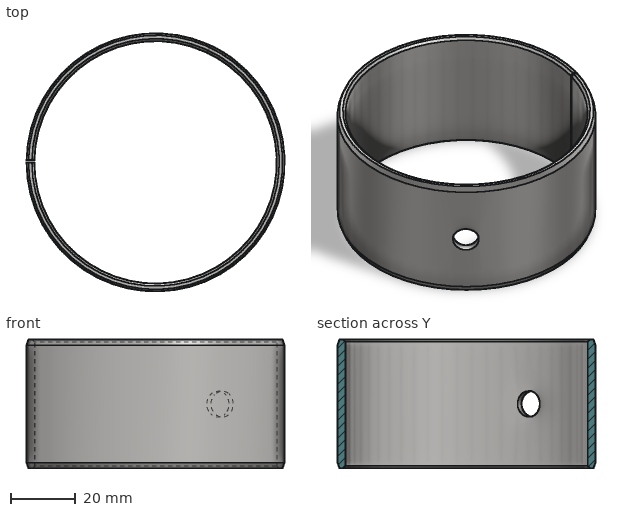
import cadquery as cq
import math

outer_diameter = 80.0
wall = 2.5
length = 40.0
outer_chamfer_length = 1.8
outer_chamfer_angle = 20.0
inner_chamfer = 0.8
seam_position = 180.0
seam_angle = 1.0
oil_hole_diameter = 8.0
oil_hole_angle = 59.0

outer_radius = outer_diameter / 2
inner_radius = outer_radius - wall
half_length = length / 2
outer_chamfer_depth = outer_chamfer_length * math.tan(math.radians(outer_chamfer_angle))


def split_sleeve():
    """Open ring: the wall section, chamfered at all four corners, swept about Z up to the seam."""
    outer_shoulder = half_length - outer_chamfer_length
    inner_shoulder = half_length - inner_chamfer
    face_outer_radius = outer_radius - outer_chamfer_depth
    face_inner_radius = inner_radius + inner_chamfer
    upper_half = [
        (outer_radius, outer_shoulder),
        (face_outer_radius, half_length),
        (face_inner_radius, half_length),
        (inner_radius, inner_shoulder),
    ]
    lower_half = [(r, -z) for r, z in reversed(upper_half)]
    section = cq.Workplane("XZ").polyline(upper_half + lower_half).close()
    open_ring = section.revolve(360 - seam_angle, (0, 0, 0), (0, 1, 0))
    return open_ring.rotate((0, 0, 0), (0, 0, 1), seam_position)


def oil_hole_cutter():
    """Radial cylinder from the axis out through one side of the wall, at mid length."""
    angle = math.radians(oil_hole_angle)
    direction = cq.Vector(math.cos(angle), math.sin(angle), 0)
    return cq.Workplane(
        cq.Solid.makeCylinder(oil_hole_diameter / 2, outer_diameter, cq.Vector(0, 0, 0), direction)
    )


result = split_sleeve().cut(oil_hole_cutter())